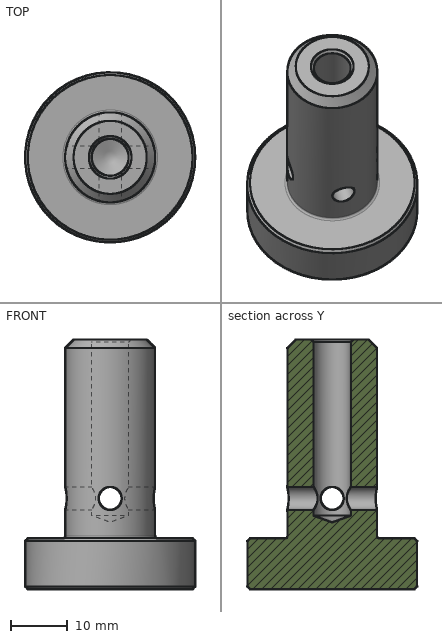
import cadquery as cq
import math

flange_diameter = 30.0
flange_height = 9.0
flange_chamfer = 0.5

total_height = 44.0
shaft_diameter = 15.875
shaft_top_chamfer = 1.5
root_fillet = 0.4

bore_diameter = 6.5
bore_mouth_diameter = 7.5
bore_depth = 31.0
cone_angle = 140.0

cross_hole_diameter = 4.0
cross_hole_height = 16.0


def make_body():
    """Revolve the flange and shaft outline about Z."""
    flange_radius = flange_diameter / 2
    shaft_radius = shaft_diameter / 2
    fillet_middle = root_fillet * (1 - math.sqrt(0.5))
    return (
        cq.Workplane("XZ")
        .moveTo(0, 0)
        .lineTo(flange_radius - flange_chamfer, 0)
        .lineTo(flange_radius, flange_chamfer)
        .lineTo(flange_radius, flange_height - flange_chamfer)
        .lineTo(flange_radius - flange_chamfer, flange_height)
        .lineTo(shaft_radius + root_fillet, flange_height)
        .threePointArc(
            (shaft_radius + fillet_middle, flange_height + fillet_middle),
            (shaft_radius, flange_height + root_fillet),
        )
        .lineTo(shaft_radius, total_height - shaft_top_chamfer)
        .lineTo(shaft_radius - shaft_top_chamfer, total_height)
        .lineTo(0, total_height)
        .close()
        .revolve(360, (0, 0, 0), (0, 1, 0))
    )


def make_bore():
    """Revolve the bore with its 45 degree mouth chamfer and conical bottom."""
    bore_radius = bore_diameter / 2
    mouth_radius = bore_mouth_diameter / 2
    mouth_chamfer = mouth_radius - bore_radius
    bore_bottom = total_height - bore_depth
    cone_depth = bore_radius / math.tan(math.radians(cone_angle / 2))
    return (
        cq.Workplane("XZ")
        .moveTo(0, bore_bottom - cone_depth)
        .lineTo(bore_radius, bore_bottom)
        .lineTo(bore_radius, total_height - mouth_chamfer)
        .lineTo(mouth_radius, total_height)
        .lineTo(0, total_height)
        .close()
        .revolve(360, (0, 0, 0), (0, 1, 0))
    )


def make_cross_hole(plane):
    """Cylinder through the shaft, perpendicular to a vertical plane."""
    return (
        cq.Workplane(plane)
        .center(0, cross_hole_height)
        .circle(cross_hole_diameter / 2)
        .extrude(shaft_diameter, both=True)
    )


result = make_body().cut(make_bore())
for hole_plane in ("XZ", "YZ"):
    result = result.cut(make_cross_hole(hole_plane))